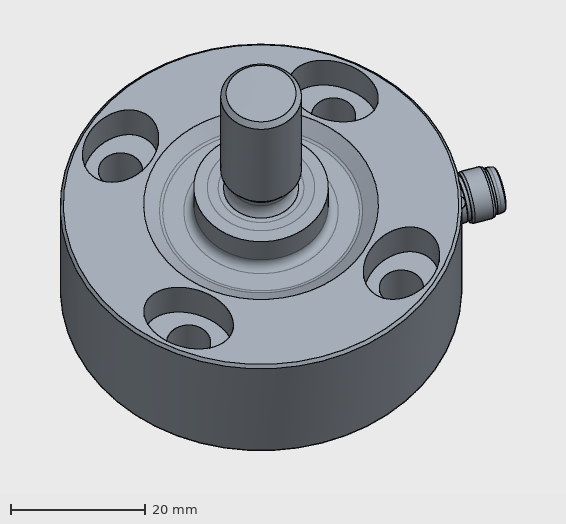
import cadquery as cq
import math

overall_length = 67.2
body_radius = 59.8 / 2
body_height = 21.65
body_chamfer = 0.5

recess_radius = 17.5
recess_cone_end = 15.1
recess_floor_radius = 14.65
recess_floor_z = 19.95
recess_lip = 0.15

boss_radius = 20.0 / 2
boss_top = 26.0
boss_fillet = 1.5
dish_radius = 8.0
dish_floor_radius = 6.4
dish_depth = 0.15

stud_radius = 12.0 / 2
stud_top = 50.0
stud_bottom = 30.65
stud_tip_rise = 0.3
stud_chamfer = 0.8
neck_radius = 9.4 / 2
neck_top = 28.6
neck_bottom = 27.8
neck_foot_radius = 5.6
neck_foot_height = neck_bottom - (boss_top - dish_depth)
neck_flare = neck_foot_radius - neck_radius
neck_arc = (neck_foot_height**2 + neck_flare**2) / (2 * neck_flare)
neck_half_angle = math.asin(neck_foot_height / neck_arc) / 2

hole_count = 4
hole_circle_radius = 23.5
hole_first_angle = 45.0
hole_diameter = 6.6
oval_tangential = 14.0
oval_radial = 10.55
oval_depth = 6.25

connector_z = 10.0
connector_end = overall_length - body_radius
connector_embed = 2.7
connector_root = body_radius - connector_embed
barrel_radius = 7.2 / 2
groove_radius = 6.9 / 2
nut_radius = 8.0 / 2
nut_edge_radius = 3.8
tip_radius = 6.4 / 2
tip_edge = 0.2
front_collar_start = 0.95
front_collar_end = 1.4
nut_start = 1.8
nut_end = 5.5
nut_chamfer = 0.4
barrel_start = 6.05
barrel_chamfer = barrel_radius - groove_radius

dimple_count = 3
dimple_diameter = 1.95
dimple_from_end = 7.1
dimple_depth = 0.2
dimple_first_angle = 47.0


def make_core():
    """Housing, recess, boss and stud as one turned profile (radius, Z)."""
    fillet_mid = boss_fillet * (1 - math.sqrt(0.5))
    arc_mid = (
        neck_radius + neck_arc * (1 - math.cos(neck_half_angle)),
        neck_bottom - neck_arc * math.sin(neck_half_angle),
    )
    stud_shoulder = stud_top - stud_tip_rise
    profile = (
        cq.Workplane("XZ")
        .moveTo(0, 0)
        .lineTo(body_radius - body_chamfer, 0)
        .lineTo(body_radius, body_chamfer)
        .lineTo(body_radius, body_height - body_chamfer)
        .lineTo(body_radius - body_chamfer, body_height)
        .lineTo(recess_radius, body_height)
        .lineTo(recess_cone_end, recess_floor_z + recess_lip)
        .lineTo(recess_floor_radius, recess_floor_z)
        .lineTo(boss_radius + boss_fillet, recess_floor_z)
        .threePointArc(
            (boss_radius + fillet_mid, recess_floor_z + fillet_mid),
            (boss_radius, recess_floor_z + boss_fillet),
        )
        .lineTo(boss_radius, boss_top)
        .lineTo(dish_radius, boss_top)
        .lineTo(dish_floor_radius, boss_top - dish_depth)
        .lineTo(neck_foot_radius, boss_top - dish_depth)
        .threePointArc(arc_mid, (neck_radius, neck_bottom))
        .lineTo(neck_radius, neck_top)
        .lineTo(stud_radius, stud_bottom)
        .lineTo(stud_radius, stud_shoulder - stud_chamfer)
        .lineTo(stud_radius - stud_chamfer, stud_shoulder)
        .lineTo(0, stud_top)
        .close()
    )
    return profile.revolve(360, (0, 0), (0, 1))


def make_mounting_hole(angle):
    """Cutter for one through hole and its oval counterbore."""
    bore = cq.Workplane("XY").circle(hole_diameter / 2).extrude(body_height)
    oval = (
        cq.Workplane("XY", origin=(0, 0, body_height - oval_depth))
        .ellipse(oval_radial / 2, oval_tangential / 2)
        .extrude(oval_depth)
    )
    cutter = bore.union(oval).translate((hole_circle_radius, 0, 0))
    return cutter.rotate((0, 0, 0), (0, 0, 1), angle)


def make_connector():
    """Turned connector along +Y, with dimples around its barrel."""
    outline = [
        (tip_radius, 0),
        (groove_radius, tip_edge),
        (barrel_radius, front_collar_start),
        (barrel_radius, front_collar_end),
        (groove_radius, front_collar_end),
        (groove_radius, nut_start),
        (nut_edge_radius, nut_start),
        (nut_radius, nut_start + nut_chamfer),
        (nut_radius, nut_end - nut_chamfer),
        (nut_edge_radius, nut_end),
        (groove_radius, nut_end),
        (groove_radius, barrel_start),
        (barrel_radius, barrel_start + barrel_chamfer),
        (barrel_radius, connector_end - connector_root),
    ]
    points = [(radius, connector_end - back) for radius, back in outline]
    connector = (
        cq.Workplane("XY")
        .polyline([(0, connector_end)] + points + [(0, connector_root)])
        .close()
        .revolve(360, (0, 0), (0, 1))
    )
    dimple = (
        cq.Workplane("YZ", origin=(barrel_radius - dimple_depth, 0, 0))
        .center(connector_end - dimple_from_end, 0)
        .circle(dimple_diameter / 2)
        .extrude(2 * dimple_depth)
    )
    for index in range(dimple_count):
        angle = dimple_first_angle + index * 360 / dimple_count
        connector = connector.cut(dimple.rotate((0, 0, 0), (0, 1, 0), -angle))
    return connector.translate((0, 0, connector_z))


result = make_core().union(make_connector())
for index in range(hole_count):
    result = result.cut(make_mounting_hole(hole_first_angle + index * 360 / hole_count))